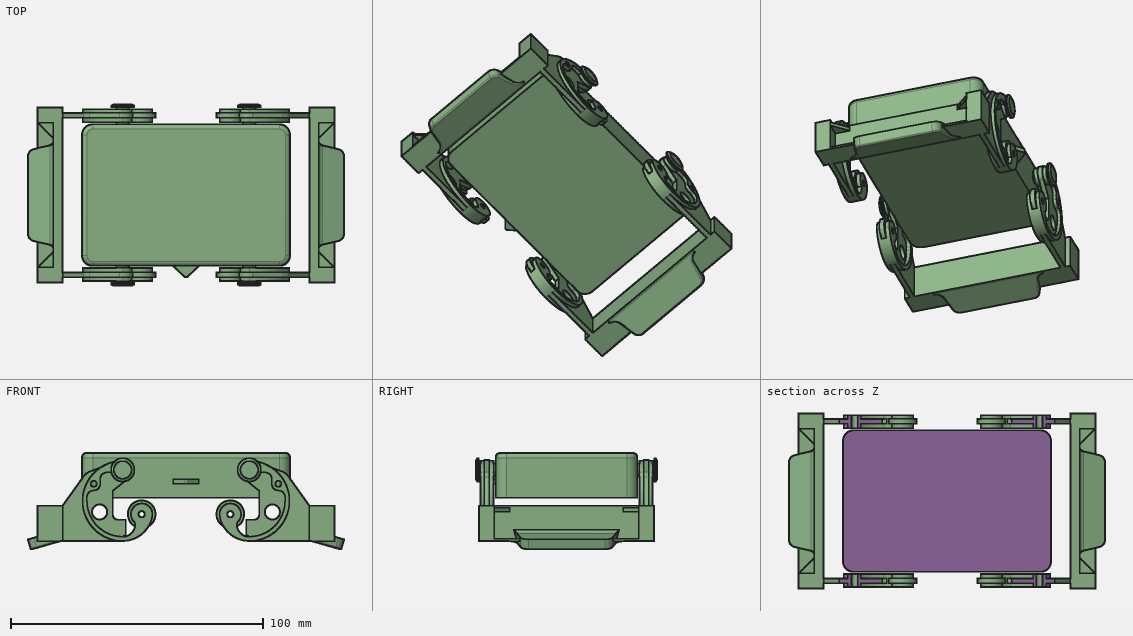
import cadquery as cq
import math


total_length = 125.4
total_width = 72.0
total_height = 38.3

housing_length = 82.5
housing_width = 56.2
housing_bottom = 20.5
housing_corner = 4.3
housing_top_round = 1.9

pointer_bottom = 26.0
pointer_height = 1.9
pointer_half_width = 5.1
pointer_reach = 4.9
pointer_tip_round = 1.0

plate_inner = 30.6
plate_outer = 32.6
disc_inner = 28.8
disc_outer = 34.1

ring_x = -25.1
ring_z = 19.2
ring_radius = 15.9
ring_inner_radius = 14.2
ring_bottom = ring_z - ring_radius
ring_inner_bottom = ring_z - ring_inner_radius
band_round = 2.6
band_neck_z = 30.5
bulge_hole_z = 26.0

pin_z = 31.5
plate_eye_radius = 4.0
disc_eye_radius = ring_z + ring_radius - pin_z
pin_radius = 2.6
pin_head_radius = 4.6
pin_head_face_radius = 3.5
pin_head_inner = 34.7
pin_rim_width = 0.6

roller_x = -17.5
roller_z = 13.9
roller_plate_radius = 5.5
roller_disc_radius = 4.3
small_hole_radius = 1.19

throat_radius = 4.9
throat_z = ring_inner_bottom + throat_radius
throat_end_angle = 10
roller_dx = roller_x - ring_x
roller_dz = roller_z - ring_bottom
tail_radius = (roller_dx**2 + roller_dz**2 - roller_disc_radius**2) / (2 * (roller_dz - roller_disc_radius))
tail_z = ring_bottom + tail_radius

slot_x = -29.0
slot_top = 23.2
slot_bottom = 11.8
slot_round = 2.0
step_x = -23.8
step_bottom = 5.6
shoulder_start = (-40.8, 28.7)
shoulder_end = (-38.4, 30.7)
plate_hole = (-34.2, 14.8)
plate_hole_radius = 2.95

bar_outer = -59.0
bar_inner = -48.9
bar_bottom = ring_bottom
bar_top = 17.3
bar_width = 69.5
pocket_width = 57.2
pocket_back = -52.7
pocket_floor = 4.1
gusset_leg = 6.0
gusset_bottom = 14.8
gusset_top = 16.4

tab_angle = 16
tab_thickness = 4.3
tab_edge_round = 0.6
tab_heel = 1.4
tab_tip_half_width = 17.7
tab_corner_round = 3.1
tab_flare_start = (8.8, 19.7)
tab_flare_end = (11.5, 23.2)
tab_outline_length = 17.5


def plate_plane(distance):
    """XZ sketch plane at y = -distance, extruding away from the housing."""
    return cq.Workplane("XZ", origin=(0, -distance, 0))


def polar(center, radius, degrees):
    angle = math.radians(degrees)
    return (center[0] + radius * math.cos(angle), center[1] + radius * math.sin(angle))


def tangent_point(start, center, radius, side):
    """Point where a line from start touches a circle; side is +1 or -1."""
    dx = start[0] - center[0]
    dz = start[1] - center[1]
    toward_start = math.degrees(math.atan2(dz, dx))
    opening = math.degrees(math.acos(radius / math.hypot(dx, dz)))
    return polar(center, radius, toward_start + side * opening)


def cylinder(center, radius, near, far):
    return plate_plane(near).center(*center).circle(radius).extrude(far - near)


pin_center = (ring_x, pin_z)
roller_center = (roller_x, roller_z)
band_left = ring_x - ring_inner_radius
bulge_hole = (band_left + band_round, bulge_hole_z)


def housing():
    height = total_height - housing_bottom
    body = (
        cq.Workplane("XY", origin=(0, 0, housing_bottom))
        .rect(housing_length, housing_width)
        .extrude(height)
        .edges("|Z")
        .fillet(housing_corner)
        .faces(">Z")
        .edges()
        .fillet(housing_top_round)
    )
    wall = -housing_width / 2
    pointer = (
        cq.Workplane("XY", origin=(0, 0, pointer_bottom))
        .moveTo(-pointer_half_width, wall)
        .lineTo(0, wall - pointer_reach)
        .lineTo(pointer_half_width, wall)
        .lineTo(0, 0)
        .close()
        .extrude(pointer_height)
        .edges("|Z and <Y")
        .fillet(pointer_tip_round)
    )
    return body.union(pointer)


def tail(near, far):
    """Curved finger from the bottom of the ring up to the roller."""
    tail_center = (ring_x, tail_z)
    throat_center = (ring_x, throat_z)
    end_angle = math.degrees(math.atan2(roller_z - tail_z, roller_x - ring_x))
    return (
        plate_plane(near)
        .moveTo(ring_x, ring_bottom)
        .threePointArc(
            polar(tail_center, tail_radius, (end_angle - 90) / 2),
            polar(tail_center, tail_radius, end_angle),
        )
        .lineTo(*roller_center)
        .lineTo(*polar(throat_center, throat_radius, throat_end_angle))
        .threePointArc(
            polar(throat_center, throat_radius, (throat_end_angle - 90) / 2),
            (ring_x, ring_inner_bottom),
        )
        .close()
        .extrude(far - near)
    )


def hook_disc(near, far):
    """Ring band with a bulge round the small hole, plus tail, roller and pin eye."""
    ring_center = (ring_x, ring_z)
    hole_x, hole_z = bulge_hole
    bulge_right = hole_x + band_round
    blend = band_round * math.sqrt(0.5)
    upper_center = (bulge_right + band_round, band_neck_z - band_round)
    lower_center = (hole_x, hole_z - 2 * band_round)
    band = (
        plate_plane(near)
        .moveTo(ring_x, ring_bottom)
        .threePointArc((ring_x - ring_radius, ring_z), (ring_x, ring_z + ring_radius))
        .lineTo(ring_x, band_neck_z)
        .lineTo(upper_center[0], band_neck_z)
        .threePointArc(polar(upper_center, band_round, 135), (bulge_right, upper_center[1]))
        .lineTo(bulge_right, hole_z)
        .threePointArc((hole_x + blend, hole_z - blend), (hole_x, hole_z - band_round))
        .threePointArc(polar(lower_center, band_round, 135), (band_left, lower_center[1]))
        .lineTo(band_left, ring_z)
        .threePointArc(polar(ring_center, ring_inner_radius, 225), (ring_x, ring_inner_bottom))
        .close()
        .extrude(far - near)
    )
    return (
        band.union(tail(near, far))
        .union(cylinder(roller_center, roller_disc_radius, near, far))
        .union(cylinder(pin_center, disc_eye_radius, near, far))
    )


def arm_plate():
    """Middle layer of the arm, running from the handle bar to the hook."""
    slot_corner = (slot_x, slot_top)
    body = (
        plate_plane(plate_inner)
        .moveTo(bar_inner, bar_bottom)
        .lineTo(bar_inner, bar_top)
        .lineTo(*shoulder_start)
        .tangentArcPoint(shoulder_end, relative=False)
        .lineTo(*tangent_point(shoulder_end, pin_center, plate_eye_radius, -1))
        .threePointArc(
            (ring_x + plate_eye_radius, pin_z),
            tangent_point(slot_corner, pin_center, plate_eye_radius, 1),
        )
        .lineTo(*slot_corner)
        .lineTo(slot_x, slot_bottom + slot_round)
        .threePointArc(
            polar((slot_x + slot_round, slot_bottom + slot_round), slot_round, 225),
            (slot_x + slot_round, slot_bottom),
        )
        .lineTo(step_x, slot_bottom)
        .lineTo(step_x, step_bottom)
        .lineTo(ring_x, ring_inner_bottom)
        .lineTo(ring_x, bar_bottom)
        .close()
        .extrude(plate_outer - plate_inner)
    )
    return (
        body.union(tail(plate_inner, plate_outer))
        .union(cylinder(roller_center, roller_plate_radius, plate_inner, plate_outer))
        .cut(cylinder(plate_hole, plate_hole_radius, plate_inner, plate_outer))
    )


def pivot_pin():
    """Turned pin with a flat head bevelled at its outer face."""
    pin_end = total_width / 2
    return (
        cq.Workplane("XY")
        .polyline([
            (0, 0),
            (pin_radius, 0),
            (pin_radius, -pin_head_inner),
            (pin_head_radius, -pin_head_inner),
            (pin_head_radius, -pin_head_inner - pin_rim_width),
            (pin_head_face_radius, -pin_end),
            (0, -pin_end),
        ])
        .close()
        .revolve(360, (0, 0, 0), (0, 1, 0))
        .translate((ring_x, 0, pin_z))
    )


def arm():
    body = (
        arm_plate()
        .union(hook_disc(disc_inner, plate_inner))
        .union(hook_disc(plate_outer, disc_outer))
    )
    for hole in (bulge_hole, roller_center):
        body = body.cut(cylinder(hole, small_hole_radius, disc_inner, disc_outer))
    return body.union(pivot_pin())


def handle_bar():
    """Bar with a pocket open at the top and outside, and two corner gussets."""
    bar = cq.Workplane("XY").box(
        bar_inner - bar_outer, bar_width, bar_top - bar_bottom, centered=(False, True, False)
    ).translate((bar_outer, 0, bar_bottom))
    pocket = cq.Workplane("XY").box(
        pocket_back - bar_outer, pocket_width, bar_top - pocket_floor, centered=(False, True, False)
    ).translate((bar_outer, 0, pocket_floor))
    bar = bar.cut(pocket)
    for side in (-1, 1):
        end = side * pocket_width / 2
        gusset = (
            cq.Workplane("XY", origin=(0, 0, gusset_bottom))
            .moveTo(pocket_back, end)
            .lineTo(pocket_back - gusset_leg, end)
            .lineTo(pocket_back, end - side * gusset_leg)
            .close()
            .extrude(gusset_top - gusset_bottom)
        )
        bar = bar.union(gusset)
    return bar


def handle_tab():
    """Finger tab sloping down and outward from the bar, flared at its root."""
    sine = math.sin(math.radians(tab_angle))
    cosine = math.cos(math.radians(tab_angle))
    slope = sine / cosine
    tip_top_x = -total_length / 2
    tip_bottom_x = tip_top_x + tab_thickness * sine
    tip_bottom_z = -tab_edge_round * (sine + cosine - 1)
    tip_top_z = tip_bottom_z + tab_thickness * cosine
    heel_x = pocket_back - tab_heel
    heel_z = tip_top_z + slope * (heel_x - tip_top_x)
    root_x = tip_bottom_x + (bar_bottom - tip_bottom_z) / slope
    profile = (
        cq.Workplane("XZ")
        .moveTo(root_x, bar_bottom)
        .lineTo(tip_bottom_x, tip_bottom_z)
        .lineTo(tip_top_x, tip_top_z)
        .lineTo(heel_x, heel_z)
        .tangentArcPoint((pocket_back, heel_z + tab_heel), relative=False)
        .lineTo(bar_inner, heel_z + tab_heel)
        .lineTo(bar_inner, bar_bottom)
        .close()
        .extrude(pocket_width / 2, both=True)
    )
    tab_plane = cq.Plane(
        origin=(tip_bottom_x, 0, tip_bottom_z),
        xDir=(cosine, 0, sine),
        normal=(-sine, 0, cosine),
    )
    flare_x, flare_y = tab_flare_start
    end_x, end_y = tab_flare_end
    half_outline = (
        cq.Workplane(tab_plane)
        .lineTo(0, tab_tip_half_width)
        .lineTo(flare_x, flare_y)
        .tangentArcPoint((end_x, end_y), relative=False)
        .lineTo(tab_outline_length, end_y)
        .lineTo(tab_outline_length, 0)
        .close()
        .extrude(2 * tab_thickness)
    )
    outline = (
        half_outline.union(half_outline.mirror("XZ"))
        .clean()
        .edges(cq.selectors.ParallelDirSelector(tab_plane.zDir))
        .edges("<X")
        .fillet(tab_corner_round)
        .faces(cq.selectors.DirectionMinMaxSelector(tab_plane.zDir, False))
        .edges()
        .fillet(tab_edge_round)
    )
    return profile.intersect(outline)


def lever():
    front_arm = arm()
    return handle_bar().union(handle_tab()).union(front_arm).union(front_arm.mirror("XZ"))


left_lever = lever()
result = housing().union(left_lever).union(left_lever.mirror("YZ"))